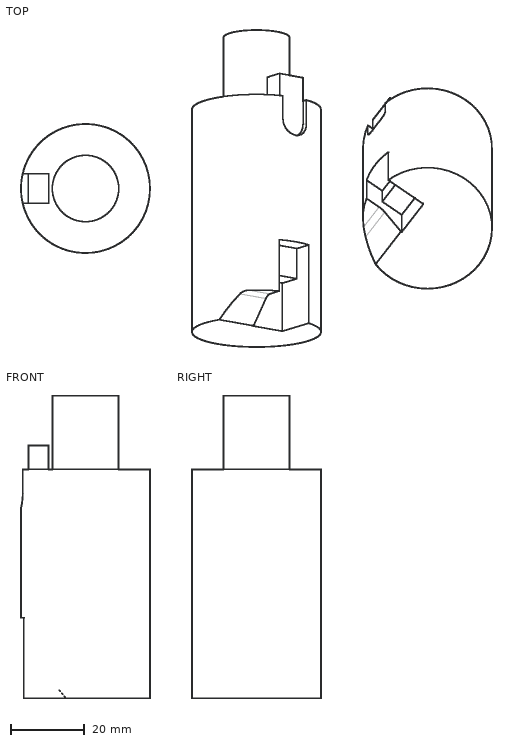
import cadquery as cq
import math

HOUSING_DIAMETER = 35.0
HOUSING_HEIGHT = 62.0
HOUSING_RADIUS = HOUSING_DIAMETER / 2

SHAFT_DIAMETER = 18.0
SHAFT_HEIGHT = 20.0

KEY_WIDTH = 8.0
KEY_LENGTH = 17.0
KEY_THICKNESS = 5.5
KEY_PROJECTION = 6.5
KEYWAY_FLOOR_X = -10.0
KEY_BOTTOM = HOUSING_HEIGHT + KEY_PROJECTION - KEY_LENGTH

SLOT_WIDTH = 10.0
SLOT_TOP = 21.8
SLOT_FLOOR_X = -11.5
DEEP_SLOT_TOP = 13.4
DEEP_SLOT_FLOOR_X = -5.0

NOTCH_HEIGHT = 7.5
NOTCH_CORNER_X = SLOT_FLOOR_X
NOTCH_FOOT_X = -5.25
NOTCH_FILLET = 2.5


def key_prism(inner_x, thickness):
    """Key outline with a round lower end, extruded outward (-X) from inner_x."""
    radius = KEY_WIDTH / 2
    round_center_z = KEY_BOTTOM + radius
    top_z = KEY_BOTTOM + KEY_LENGTH
    return (
        cq.Workplane("YZ", origin=(inner_x - thickness, 0, 0))
        .moveTo(-radius, top_z)
        .lineTo(-radius, round_center_z)
        .threePointArc((0, KEY_BOTTOM), (radius, round_center_z))
        .lineTo(radius, top_z)
        .close()
        .extrude(thickness)
    )


def slot_block(floor_x, height):
    """Block that opens the slot from the -X side in to floor_x."""
    return cq.Workplane("XY").box(
        HOUSING_RADIUS + floor_x, SLOT_WIDTH, height, centered=(False, True, False)
    ).translate((-HOUSING_RADIUS, 0, 0))


def side_notch():
    """Notch with a flat ceiling, a sloped inner face and a rounded corner between them."""
    slope_run = NOTCH_FOOT_X - NOTCH_CORNER_X
    slope_length = math.hypot(slope_run, NOTCH_HEIGHT)
    turn_angle = math.atan2(NOTCH_HEIGHT, slope_run)
    tangent_length = NOTCH_FILLET * math.tan(turn_angle / 2)
    arc_start = (NOTCH_CORNER_X - tangent_length, NOTCH_HEIGHT)
    arc_middle = (
        arc_start[0] + NOTCH_FILLET * math.sin(turn_angle / 2),
        NOTCH_HEIGHT - NOTCH_FILLET * (1 - math.cos(turn_angle / 2)),
    )
    arc_end = (
        NOTCH_CORNER_X + tangent_length * slope_run / slope_length,
        NOTCH_HEIGHT - tangent_length * NOTCH_HEIGHT / slope_length,
    )
    return (
        cq.Workplane("XZ")
        .moveTo(-HOUSING_RADIUS, 0)
        .lineTo(-HOUSING_RADIUS, NOTCH_HEIGHT)
        .lineTo(*arc_start)
        .threePointArc(arc_middle, arc_end)
        .lineTo(NOTCH_FOOT_X, 0)
        .close()
        .extrude(-HOUSING_RADIUS)
    )


def make_housing():
    """Cylinder with the keyway, the stepped slot and the side notch cut out."""
    keyway = key_prism(KEYWAY_FLOOR_X, HOUSING_RADIUS + KEYWAY_FLOOR_X)
    return (
        cq.Workplane("XY")
        .circle(HOUSING_RADIUS)
        .extrude(HOUSING_HEIGHT)
        .cut(keyway)
        .cut(slot_block(SLOT_FLOOR_X, SLOT_TOP))
        .cut(slot_block(DEEP_SLOT_FLOOR_X, DEEP_SLOT_TOP))
        .cut(side_notch())
    )


def make_shaft():
    """Plain shaft on the housing's axis."""
    return (
        cq.Workplane("XY", origin=(0, 0, HOUSING_HEIGHT))
        .circle(SHAFT_DIAMETER / 2)
        .extrude(SHAFT_HEIGHT)
    )


def make_key():
    """Key seated on the keyway floor."""
    return key_prism(KEYWAY_FLOOR_X, KEY_THICKNESS)


housing = make_housing()
shaft = make_shaft()
key = make_key()

result = cq.Compound.makeCompound([housing.val(), shaft.val(), key.val()])